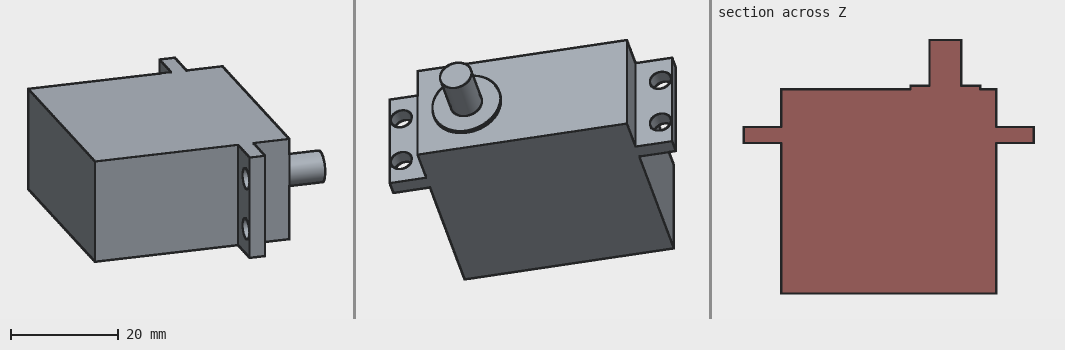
import cadquery as cq

case_width = 40.0
case_depth = 38.0
height = 20.0

ear_span = 54.0
ear_thickness = 3.0
ear_setback = 7.0
hole_diameter = 4.0
hole_spacing_x = 49.5
hole_spacing_z = 10.0

shaft_offset = 10.55
shaft_diameter = 6.0
shaft_reach = 9.2
collar_diameter = 13.0
collar_thickness = 0.65


def block(width, depth, back_y):
    """Full-height block centred on X and Z, with its +Y face at back_y."""
    return cq.Workplane("XY").box(width, depth, height).translate((0, back_y - depth / 2, 0))


def cylinder_along_y(diameter, length, x, start_y, z=0):
    """Cylinder running from start_y toward +Y."""
    solid = cq.Solid.makeCylinder(diameter / 2, length, cq.Vector(x, start_y, z), cq.Vector(0, 1, 0))
    return cq.Workplane(obj=solid)


case = block(case_width, case_depth, 0)
ears = block(ear_span, ear_thickness, -ear_setback)

ear_front_y = -ear_setback - ear_thickness
for side in (-1, 1):
    for level in (-1, 1):
        hole = cylinder_along_y(
            hole_diameter,
            ear_thickness,
            side * hole_spacing_x / 2,
            ear_front_y,
            level * hole_spacing_z / 2,
        )
        ears = ears.cut(hole)

collar = cylinder_along_y(collar_diameter, collar_thickness, shaft_offset, 0)
shaft = cylinder_along_y(shaft_diameter, shaft_reach, shaft_offset, 0)

result = case.union(ears).union(collar).union(shaft)